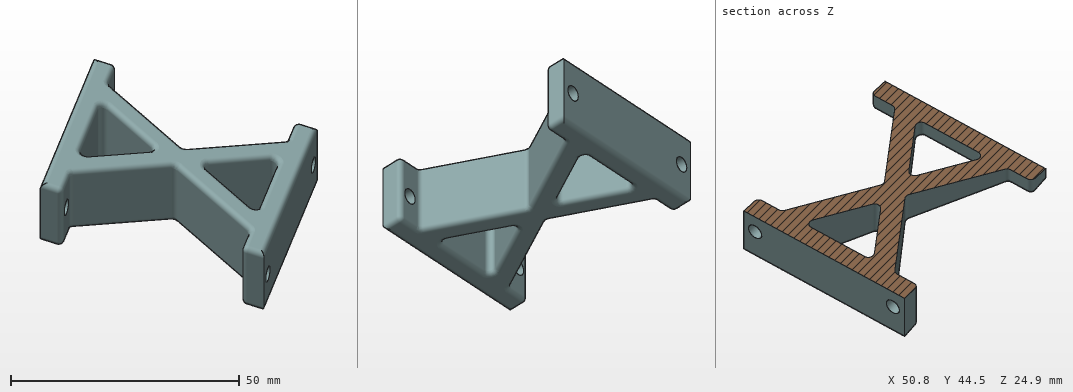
import cadquery as cq
import math

LENGTH_X = 50.8
WIDTH_Y = 44.45
WALL_HEIGHT = 16.45
SLOPE = 10.0
PLATE_THICKNESS = 5.1
ARM_WIDTH = 5.1
ARM_ANGLE = 31.9
CORNER_RADIUS = 1.25
EDGE_RADIUS = 1.2
HOLE_DIAMETER = 3.6
HOLE_EDGE_DISTANCE = 3.2
TOLERANCE = 0.01

half_length = LENGTH_X / 2
half_width = WIDTH_Y / 2
half_wall = WALL_HEIGHT / 2
half_drop = half_length * math.tan(math.radians(SLOPE))
plate_middle_x = half_length - PLATE_THICKNESS / 2
hole_y = half_width - HOLE_EDGE_DISTANCE


def tall_block(size_x, size_y):
    """Upright block reaching beyond the sloped top and bottom."""
    return cq.Workplane("XY").box(size_x, size_y, 2 * (half_drop + WALL_HEIGHT))


def end_plate(side):
    """Plate across one X end; side is -1 or 1."""
    return tall_block(PLATE_THICKNESS, WIDTH_Y).translate((side * plate_middle_x, 0, 0))


def arm(angle):
    """Diagonal arm running from the middle of one plate to the middle of the other."""
    arm_length = 2 * plate_middle_x / math.cos(math.radians(angle))
    return tall_block(arm_length, ARM_WIDTH).rotate((0, 0, 0), (0, 0, 1), angle)


def sloped_envelope():
    """Parallelogram in XZ that sets the sloped top and bottom."""
    outline = [
        (-half_length, half_drop + half_wall),
        (half_length, half_wall - half_drop),
        (half_length, -half_drop - half_wall),
        (-half_length, half_drop - half_wall),
    ]
    return cq.Workplane("XZ").polyline(outline).close().extrude(half_width, both=True)


def is_plate_corner(edge):
    """True for an upright edge at the Y end of a plate."""
    return abs(abs(edge.Center().y) - half_width) < TOLERANCE


def is_outer_corner(edge):
    """True for an upright edge on an outer X face."""
    return abs(abs(edge.Center().x) - half_length) < TOLERANCE


def plate_holes(side):
    """Pair of through holes along X, level with the middle of the plate's outer face."""
    return (
        cq.Workplane("YZ", origin=(side * half_length, 0, -side * half_drop))
        .pushPoints([(-hole_y, 0), (hole_y, 0)])
        .circle(HOLE_DIAMETER / 2)
        .extrude(-side * PLATE_THICKNESS)
    )


frame = end_plate(-1).union(end_plate(1)).union(arm(ARM_ANGLE)).union(arm(-ARM_ANGLE))
frame = frame.edges("|Z").filter(lambda edge: not is_plate_corner(edge)).fillet(CORNER_RADIUS)

body = frame.intersect(sloped_envelope())

sloped_faces = body.faces().filter(lambda face: abs(face.normalAt().z) > TOLERANCE)
inner_plate_ends = body.edges("|Z").filter(
    lambda edge: is_plate_corner(edge) and not is_outer_corner(edge)
)
body = sloped_faces.edges().add(inner_plate_ends).fillet(EDGE_RADIUS)

result = body.cut(plate_holes(-1)).cut(plate_holes(1))